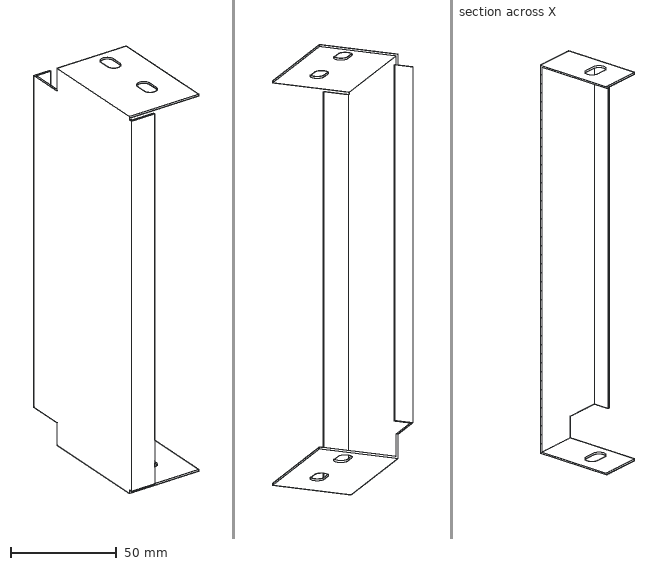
import cadquery as cq

width = 81.0
depth = 40.0
height = 201.0
sheet = 1.0

left_relief_width = 19.0
left_relief_height = 12.0
right_relief = 1.8

left_flange_depth = 9.2
right_flange_depth = 13.5

slot_length = 12.0
slot_width = 6.8
first_slot_x = 29.0
slot_spacing = 30.2
slot_y = 24.1

end_flange_width = width - left_relief_width - right_relief
left_flange_height = height - 2 * left_relief_height
right_flange_height = height - 2 * right_relief


def block(x, y, z, x_size, y_size, z_size):
    """Box with its minimum corner at (x, y, z)."""
    return cq.Workplane("XY").box(x_size, y_size, z_size, centered=False).translate((x, y, z))


def front_panel():
    """Flat panel, narrower at the ends where the corners are relieved."""
    left_part = block(0, 0, left_relief_height, width / 2, sheet, left_flange_height)
    right_part = block(width / 2, 0, right_relief, width / 2, sheet, right_flange_height)
    middle_part = block(left_relief_width, 0, 0, end_flange_width, sheet, height)
    return middle_part.union(left_part).union(right_part)


def side_flanges():
    """Lips bent back along the two long edges of the panel."""
    left = block(0, 0, left_relief_height, sheet, left_flange_depth, left_flange_height)
    right = block(width - sheet, 0, right_relief, sheet, right_flange_depth, right_flange_height)
    return left.union(right)


def end_flange(z):
    """Slotted mounting flange whose lower face is at height z."""
    flange = block(left_relief_width, 0, z, end_flange_width, depth, sheet)
    slot_centers = [(first_slot_x, slot_y), (first_slot_x + slot_spacing, slot_y)]
    slots = (
        cq.Workplane("XY")
        .workplane(offset=z)
        .pushPoints(slot_centers)
        .slot2D(slot_length, slot_width)
        .extrude(sheet)
    )
    return flange.cut(slots)


result = front_panel().union(side_flanges())
for flange_z in (0, height - sheet):
    result = result.union(end_flange(flange_z))